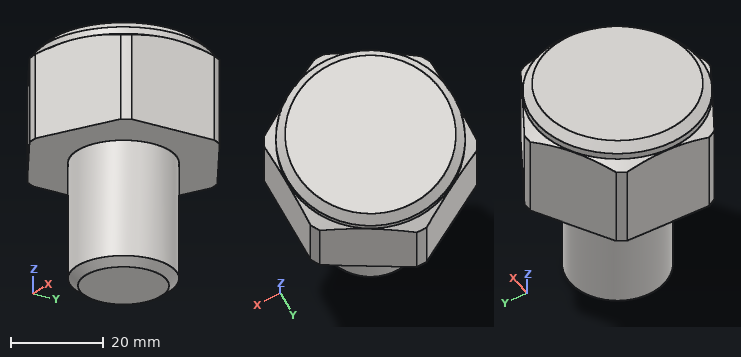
import cadquery as cq
import math

total_height = 54.0
head_height = 25.0
across_flats = 41.0
corner_diameter = 46.0
collar_radius = 20.4
collar_depth = 3.55
collar_chamfer = 2.0
shoulder_angle = 30.0
shank_diameter = 24.0
shank_chamfer_height = 1.7
shank_chamfer_width = 2.15

shank_length = total_height - head_height
corner_radius = corner_diameter / 2
shank_radius = shank_diameter / 2
collar_base = total_height - collar_depth
shoulder_drop = (corner_radius - collar_radius) * math.tan(math.radians(shoulder_angle))
hexagon_diameter = across_flats / math.cos(math.radians(30))


def make_head():
    """Hexagon trimmed by a turned profile: round collar, conical shoulder, rounded corners."""
    hexagon = (
        cq.Workplane("XY", origin=(0, 0, shank_length))
        .polygon(6, hexagon_diameter)
        .extrude(head_height)
        .rotate((0, 0, 0), (0, 0, 1), 30)
    )
    turned_envelope = (
        cq.Workplane("XZ")
        .moveTo(0, shank_length)
        .lineTo(corner_radius, shank_length)
        .lineTo(corner_radius, collar_base - shoulder_drop)
        .lineTo(collar_radius, collar_base)
        .lineTo(collar_radius, total_height - collar_chamfer)
        .lineTo(collar_radius - collar_chamfer, total_height)
        .lineTo(0, total_height)
        .close()
        .revolve(360, (0, 0, 0), (0, 1, 0))
    )
    return hexagon.intersect(turned_envelope)


def make_shank():
    """Plain round shank with a chamfered lower end."""
    return (
        cq.Workplane("XZ")
        .lineTo(shank_radius - shank_chamfer_width, 0)
        .lineTo(shank_radius, shank_chamfer_height)
        .lineTo(shank_radius, shank_length)
        .lineTo(0, shank_length)
        .close()
        .revolve(360, (0, 0, 0), (0, 1, 0))
    )


result = make_head().union(make_shank())